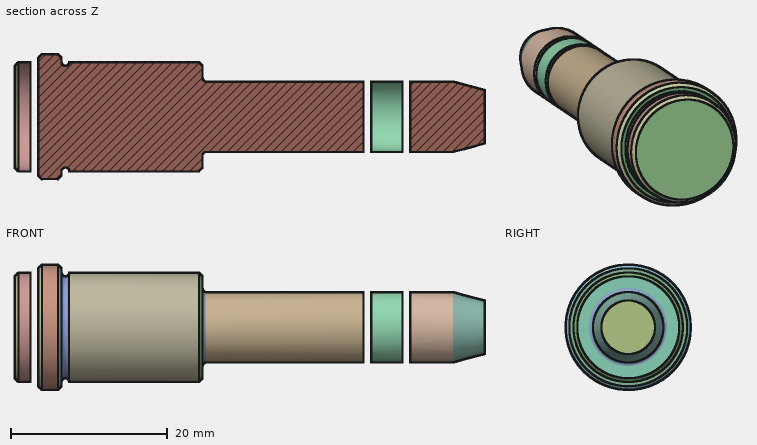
import cadquery as cq
import math

total_length = 60.0
head_length = 24.0
head_radius = 14.0 / 2
shank_radius = 9.0 / 2
edge_chamfer = 0.5

collar_radius = 16.0 / 2
collar_start = 3.0
collar_end = 6.0
head_groove_width = 0.95

root_fillet = 0.5
shank_groove_width = 0.95
shank_groove_centers = (45.0, 50.0)
tip_length = 4.0
tip_angle = 15.0


def cylinder(radius, start, end):
    return cq.Workplane("YZ").workplane(offset=start).circle(radius).extrude(end - start)


def round_groove(surface_radius, width, center):
    """Ring with a circular section, centred on the surface it cuts."""
    return (
        cq.Workplane("XY")
        .center(center, surface_radius)
        .circle(width / 2)
        .revolve(360, (0, -surface_radius), (1, -surface_radius))
    )


def make_head():
    head = cylinder(head_radius, 0, head_length).edges().chamfer(edge_chamfer)
    for center in (collar_start - head_groove_width / 2, collar_end + head_groove_width / 2):
        head = head.cut(round_groove(head_radius, head_groove_width, center))
    collar = cylinder(collar_radius, collar_start, collar_end).edges().chamfer(edge_chamfer)
    return head.union(collar)


def make_shank():
    tip_radius = shank_radius - tip_length * math.tan(math.radians(tip_angle))
    root_radius = shank_radius + root_fillet
    root_end = head_length + root_fillet
    shank = (
        cq.Workplane("XY")
        .moveTo(head_length, 0)
        .lineTo(head_length, root_radius)
        .radiusArc((root_end, shank_radius), -root_fillet)
        .lineTo(total_length - tip_length, shank_radius)
        .lineTo(total_length, tip_radius)
        .lineTo(total_length, 0)
        .close()
        .revolve(360, (0, 0), (1, 0))
    )
    for center in shank_groove_centers:
        shank = shank.cut(round_groove(shank_radius, shank_groove_width, center))
    return shank


result = make_head().union(make_shank())